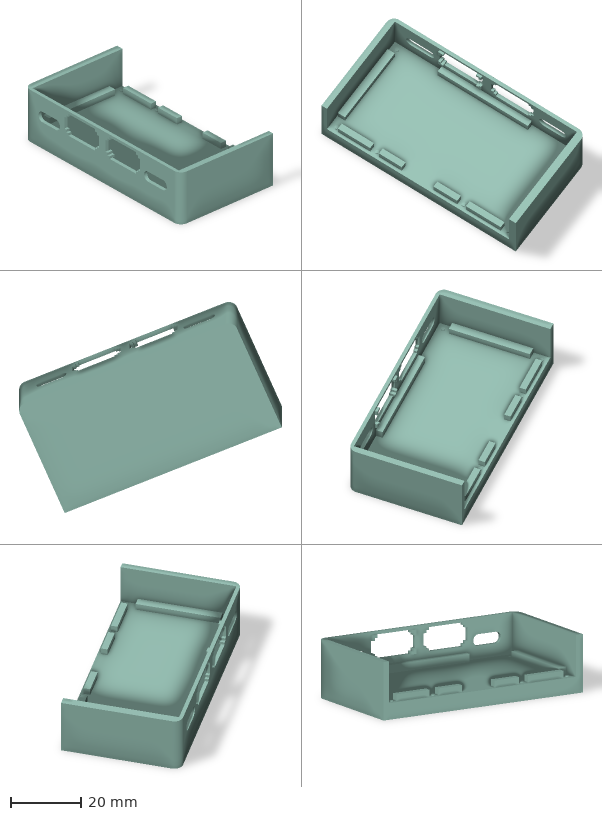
import cadquery as cq

LENGTH = 66.9
DEPTH = 35.2
HEIGHT = 17.0
FLOOR = 4.8
LEFT_WALL = 2.35
RIGHT_WALL = 1.9
FRONT_WALL = 1.15
CORNER_RADIUS = 2.55

INNER_LEFT = -LENGTH / 2 + LEFT_WALL
INNER_RIGHT = LENGTH / 2 - RIGHT_WALL
INNER_FRONT = -DEPTH / 2 + FRONT_WALL

BAR_HEIGHT = 2.0
REAR_BAR_Y = (14.65, 16.6)
REAR_BAR_SPANS = [(-27.55, -15.6), (-12.6, -4.4), (6.5, 14.4), (17.4, 28.5)]
SIDE_BAR_GAP = 0.2
SIDE_BAR_WIDTH = 2.5
SIDE_BAR_Y = (-12.5, 12.45)
FRONT_BAR_X = (-15.6, 15.45)
FRONT_BAR_WIDTH = 2.0
FRONT_BAR_HEIGHT = 2.4

PIN_DIAMETER = 1.2
PIN_HEIGHT = 0.2
REAR_PIN_Y = 15.65
REAR_PIN_XS = [-29.3, -14.2, 15.65, 29.6]
FRONT_PIN_Y = -14.7
FRONT_PIN_XS = [REAR_PIN_XS[0], REAR_PIN_XS[-1]]

WINDOW_OFFSET = 8.8
WINDOW_Z = 12.6
WINDOW_WIDTH = 14.8
WINDOW_HEIGHT = 7.1
STEP_WIDTH = 0.9
STEP_HEIGHT = 0.8
STEPS = 2
LINER_DEPTH = 0.75

LEFT_SLOT = (-27.3, -18.05, 8.6, 12.05)
RIGHT_SLOT = (18.0, 27.7, 8.6, 11.9)


def block(x_range, y_range, z_range):
    """Axis-aligned block filling the given ranges."""
    size = [high - low for low, high in (x_range, y_range, z_range)]
    corner = (x_range[0], y_range[0], z_range[0])
    return cq.Workplane("XY").box(*size, centered=False).translate(corner)


def tray():
    """Floor with left, right and front walls, open at the rear and the top."""
    body = block((-LENGTH / 2, LENGTH / 2), (-DEPTH / 2, DEPTH / 2), (0, HEIGHT))
    body = body.edges("|Z and <Y").fillet(CORNER_RADIUS)
    cavity = block((INNER_LEFT, INNER_RIGHT), (INNER_FRONT, DEPTH / 2), (FLOOR, HEIGHT))
    return body.cut(cavity)


def bars():
    """Rear row, two side bars and the taller bar along the front wall."""
    z_range = (FLOOR, FLOOR + BAR_HEIGHT)
    left = INNER_LEFT + SIDE_BAR_GAP
    right = INNER_RIGHT - SIDE_BAR_GAP
    front_y = (INNER_FRONT, INNER_FRONT + FRONT_BAR_WIDTH)
    parts = block(FRONT_BAR_X, front_y, (FLOOR, FLOOR + FRONT_BAR_HEIGHT))
    parts = parts.add(block((left, left + SIDE_BAR_WIDTH), SIDE_BAR_Y, z_range))
    parts = parts.add(block((right - SIDE_BAR_WIDTH, right), SIDE_BAR_Y, z_range))
    for span in REAR_BAR_SPANS:
        parts = parts.add(block(span, REAR_BAR_Y, z_range))
    return parts.combine()


def pins():
    """Short round pins at the corners and between the rear bars."""
    places = [(x, REAR_PIN_Y) for x in REAR_PIN_XS]
    places += [(x, FRONT_PIN_Y) for x in FRONT_PIN_XS]
    plane = cq.Workplane("XY").workplane(offset=FLOOR)
    return plane.pushPoints(places).circle(PIN_DIAMETER / 2).extrude(PIN_HEIGHT)


def window_block(x_center, width, height, y_range):
    """Block centred on a window, passing through the given depth."""
    return block(
        (x_center - width / 2, x_center + width / 2),
        y_range,
        (WINDOW_Z - height / 2, WINDOW_Z + height / 2),
    )


def window(x_center):
    """Window opening: nested blocks, each one step narrower and one step taller."""
    y_range = (-DEPTH / 2, INNER_FRONT + LINER_DEPTH)
    opening = None
    for i in range(STEPS + 1):
        width = WINDOW_WIDTH - 2 * STEP_WIDTH * i
        height = WINDOW_HEIGHT - 2 * STEP_HEIGHT * (STEPS - i)
        layer = window_block(x_center, width, height, y_range)
        opening = layer if opening is None else opening.union(layer)
    return opening


def window_liner(x_center):
    """Blocks behind the wall that deepen the stepped window corners."""
    y_range = (INNER_FRONT, INNER_FRONT + LINER_DEPTH)
    full = window_block(x_center, WINDOW_WIDTH, WINDOW_HEIGHT, y_range)
    middle_width = WINDOW_WIDTH - 2 * STEP_WIDTH * STEPS
    middle = window_block(x_center, middle_width, WINDOW_HEIGHT, y_range)
    return full.cut(middle)


def slot(left, right, bottom, top):
    """Round-ended slot through the front wall."""
    center = ((left + right) / 2, (bottom + top) / 2)
    plane = cq.Workplane("XZ", origin=(0, INNER_FRONT, 0))
    return plane.center(*center).slot2D(right - left, top - bottom).extrude(FRONT_WALL)


result = tray().union(bars()).union(pins())
result = result.union(window_liner(WINDOW_OFFSET))
for side in (-1, 1):
    result = result.cut(window(side * WINDOW_OFFSET))
for limits in (LEFT_SLOT, RIGHT_SLOT):
    result = result.cut(slot(*limits))